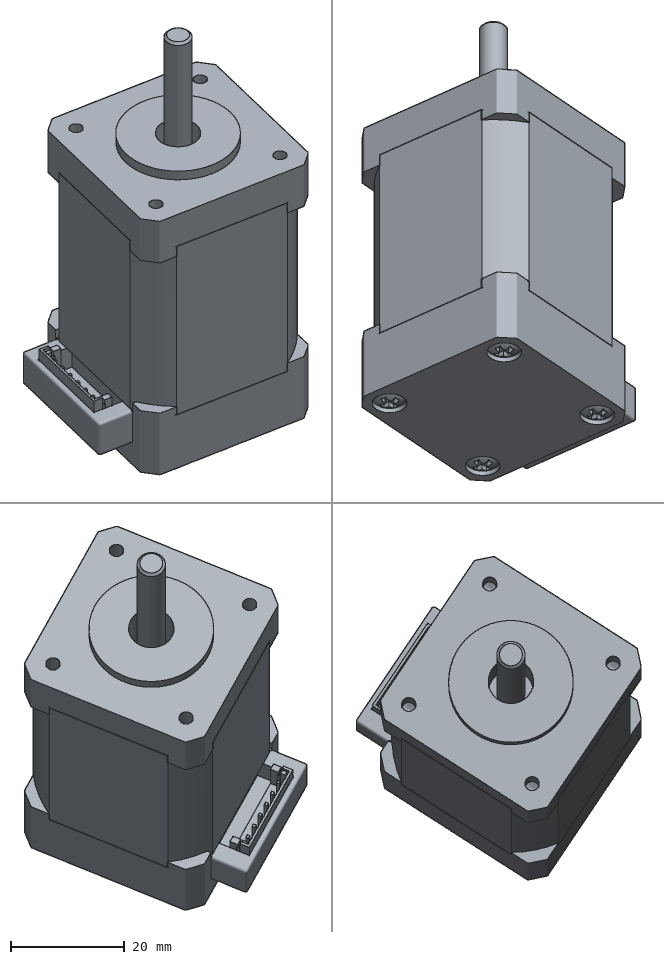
import cadquery as cq
import math

base_z = 0.2
stator_bottom_z = 12.1
rear_cap_top_z = 13.9
front_cap_bottom_z = 47.4
stator_top_z = 49.6
flange_z = 56.7
boss_top_z = 58.6
shaft_top_z = 80.5

cap_width = 35.2
cap_half = cap_width / 2
cap_chamfer = 2.5
cap_corner_radius = 0.5
boss_diameter = 22.0
shaft_clearance_diameter = 8.0

stator_width = 35.0
stator_round_diameter = 42.05

shaft_diameter = 5.0
shaft_chamfer = 0.5

hole_spacing = 26.0
mount_hole_diameter = 2.5
mount_hole_depth = 4.0
drill_point_angle = 118.0

screw_diameter = 3.0
head_diameter = 6.1
head_rim_height = 1.0
head_dome_height = 1.3
cross_slot_width = 1.1
cross_slot_length = 3.55
cross_slot_depth = 1.2
dome_radius = ((head_diameter / 2) ** 2 + head_dome_height**2) / (2 * head_dome_height)
dome_pole_z = math.sqrt(dome_radius**2 - cross_slot_width**2 / 2) - dome_radius
rim_z = dome_pole_z + head_dome_height
head_top_z = rim_z + head_rim_height

cover_width = 25.05
cover_depth = 7.0
cover_insertion = 1.2
cover_back_y = cover_insertion - cap_half
cover_bottom_z = 5.0
cover_fillet = 0.5
window_width = 18.2
window_depth = 5.9
window_floor_z = 7.4

connector_width = 17.8
connector_back = 2.0
connector_front = 5.8
connector_top_z = stator_bottom_z + 2.3
connector_wall = 0.5
connector_floor = 1.6
tab_thickness = 1.2
ledge_depth = 1.0
tab_depth = 1.5
tab_top_z = stator_bottom_z + 1.7
tab_gap = 0.4
tab_neck_height = 1.1
tab_undercut = 0.25
pin_count = 6
pin_pitch = 2.5
pin_width = 0.6
pin_from_cap = 4.3
pin_top_z = stator_bottom_z + 1.05

corner_points = [
    (sx * hole_spacing / 2, sy * hole_spacing / 2)
    for sx in (-1, 1)
    for sy in (-1, 1)
]


def cylinder(diameter, bottom_z, top_z):
    return cq.Workplane("XY").workplane(offset=bottom_z).circle(diameter / 2).extrude(top_z - bottom_z)


def block(x_range, y_range, z_range):
    """Box between the given limits along each axis."""
    sizes = [high - low for low, high in (x_range, y_range, z_range)]
    corner = (x_range[0], y_range[0], z_range[0])
    return cq.Workplane("XY").box(*sizes, centered=False).translate(corner)


def at_corners(tool):
    """Copies of a tool at the four screw positions."""
    copies = cq.Workplane("XY")
    for x, y in corner_points:
        copies = copies.add(tool.translate((x, y, 0)).val())
    return copies.combine()


def cap_block(bottom_z, top_z):
    """Square block with chamfered and slightly rounded corners."""
    body = block((-cap_half, cap_half), (-cap_half, cap_half), (bottom_z, top_z))
    body = body.edges("|Z").chamfer(cap_chamfer)
    return body.edges("|Z").fillet(cap_corner_radius)


def stator_bore():
    """Round bore of the caps around the stator; wider than the caps, it opens their four sides."""
    return cylinder(stator_round_diameter, stator_bottom_z, stator_top_z)


def stator_block():
    """Stator outline over the full height of the stator."""
    height = stator_top_z - stator_bottom_z
    square = cq.Workplane("XY").workplane(offset=stator_bottom_z).rect(stator_width, stator_width)
    return square.extrude(height).intersect(stator_bore())


def make_front_cap():
    """Flange with a centring boss, a shaft hole and four blind drilled holes."""
    cap = cap_block(front_cap_bottom_z, flange_z).union(cylinder(boss_diameter, flange_z, boss_top_z))
    cap = cap.cut(stator_bore())
    cap = cap.cut(cylinder(shaft_clearance_diameter, stator_top_z, boss_top_z))
    radius = mount_hole_diameter / 2
    point_depth = radius / math.tan(math.radians(drill_point_angle / 2))
    floor_z = flange_z - mount_hole_depth
    profile = [(0, flange_z), (radius, flange_z), (radius, floor_z), (0, floor_z - point_depth)]
    drill = cq.Workplane("XZ").polyline(profile).close().revolve(360, (0, 0), (0, 1))
    return cap.cut(at_corners(drill))


def screw_on_axis():
    """Domed screw standing on the motor axis, head down, with a cross slot."""
    radius = head_diameter / 2
    half_angle = math.asin(radius / dome_radius) / 2
    dome_mid = (dome_radius * math.sin(half_angle), dome_pole_z + dome_radius * (1 - math.cos(half_angle)))
    head = (
        cq.Workplane("XZ")
        .moveTo(0, dome_pole_z)
        .threePointArc(dome_mid, (radius, rim_z))
        .lineTo(radius, head_top_z)
        .lineTo(0, head_top_z)
        .close()
        .revolve(360, (0, 0), (0, 1))
    )
    along = (-cross_slot_length / 2, cross_slot_length / 2)
    across = (-cross_slot_width / 2, cross_slot_width / 2)
    depth = (dome_pole_z, dome_pole_z + cross_slot_depth)
    head = head.cut(block(along, across, depth)).cut(block(across, along, depth))
    return head.union(cylinder(screw_diameter, head_top_z, stator_top_z))


def screw_holes():
    """Counterbores and shank holes for the screws."""
    counterbore = cylinder(head_diameter, 0, head_top_z)
    return at_corners(counterbore.union(cylinder(screw_diameter, head_top_z, stator_top_z)))


def make_screws():
    screw = screw_on_axis()
    return [screw.translate((x, y, 0)).val() for x, y in corner_points]


def make_stator():
    """Stator with through holes for the shaft and the screws."""
    return stator_block().cut(cylinder(shaft_diameter, stator_bottom_z, stator_top_z)).cut(screw_holes())


def make_shaft():
    """Plain shaft from the bottom of the stator to a chamfered tip."""
    return cylinder(shaft_diameter, stator_bottom_z, shaft_top_z).faces(">Z").chamfer(shaft_chamfer)


def cover_block():
    """Outer shape of the cover, with its back end inside the rear cap."""
    half = cover_width / 2
    front = -cap_half - cover_depth
    block_shape = block((-half, half), (front, cover_back_y), (cover_bottom_z, stator_bottom_z))
    return block_shape.edges("not >Y").fillet(cover_fillet)


def make_cover():
    """Cover with a window for the connector, open at the top and the back."""
    window_half = window_width / 2
    window = block(
        (-window_half, window_half),
        (-cap_half - window_depth, cover_back_y),
        (window_floor_z, stator_bottom_z),
    )
    return cover_block().cut(window)


def make_rear_cap():
    """Rear cap, notched above the cover and pocketed for its inner end."""
    cap = cap_block(base_z, rear_cap_top_z).cut(stator_bore()).cut(screw_holes())
    half = cover_width / 2
    notch = block((-half, half), (-cap_half, 0), (stator_bottom_z, rear_cap_top_z))
    return cap.cut(notch).cut(cover_block())


def make_connector():
    """Socket with a floor, a front wall with side walls, low ledges at their ends, two rear tabs and pins."""
    half = connector_width / 2
    inner = half - connector_wall
    floor_z = window_floor_z + connector_floor
    front = -cap_half - connector_front
    back = -cap_half - connector_back
    tab_front = back - tab_depth
    side_back = tab_front - tab_gap
    body = block((-half, half), (front, back), (window_floor_z, floor_z))
    body = body.union(block((-half, half), (front, side_back), (floor_z, connector_top_z)))
    body = body.cut(block((-inner, inner), (front + connector_wall, side_back), (floor_z, connector_top_z)))

    neck_z = tab_top_z - tab_neck_height
    for x_range in ((-half, tab_thickness - half), (half - tab_thickness, half)):
        body = body.union(block(x_range, (tab_front, back), (floor_z, tab_top_z)))
        body = body.union(block(x_range, (side_back - ledge_depth, side_back), (floor_z, tab_top_z)))
        undercut = block(x_range, (tab_front, tab_front + tab_undercut), (floor_z, neck_z))
        body = body.cut(undercut)

    pin_y = -cap_half - pin_from_cap
    pin_half = pin_width / 2
    for index in range(pin_count):
        x = (index - (pin_count - 1) / 2) * pin_pitch
        pin = block((x - pin_half, x + pin_half), (pin_y - pin_half, pin_y + pin_half), (floor_z, pin_top_z))
        body = body.union(pin)
    return body


front_cap = make_front_cap()
stator = make_stator()
cover = make_cover()
rear_cap = make_rear_cap()
shaft = make_shaft()
connector = make_connector()
screws = make_screws()

result = cq.Compound.makeCompound(
    [
        front_cap.val(),
        stator.val(),
        rear_cap.val(),
        shaft.val(),
        cover.val(),
        connector.val(),
        *screws,
    ]
)